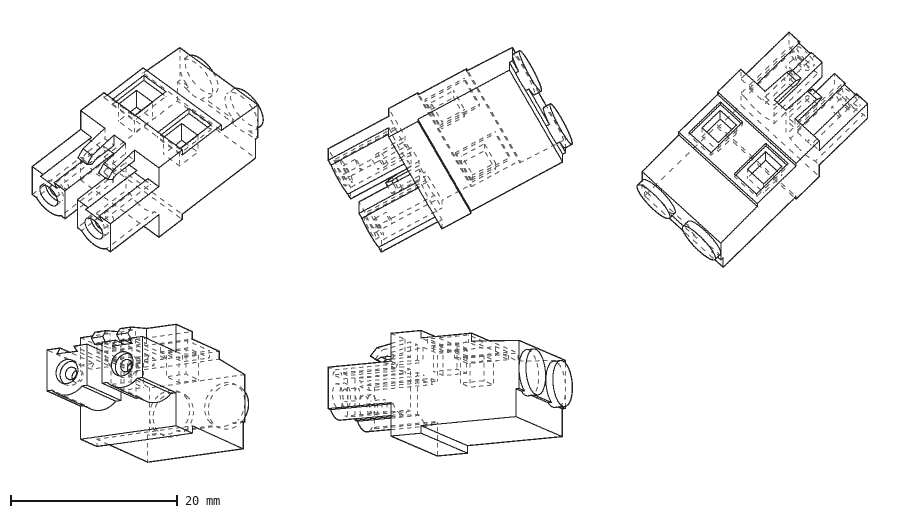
import cadquery as cq
import math

width = 13.12
length = 26.25
height = 12.6

flange_front = 8.32
flange_back = 12.35
window_deck_back = 19.03
housing_back = 25.33
lower_back = 24.9
flange_step = 0.92
rear_step_z = 4.33
slope_front_z = 10.7
slope_back_z = 10.25

plug_width = 5.55
channel_x = (width - plug_width) / 2
axis_z = 6.15

plug_top = 9.2
plug_bottom = 4.1
belly_radius = 2.91
belly_half_chord = math.sqrt(belly_radius**2 - (axis_z - plug_bottom) ** 2)
groove_mouth = 1.86
groove_floor = 2.73
groove_depth = 0.68
socket_radius = 1.5
socket_depth = 1.0
bore_radius = 0.75
bore_depth = 2.62

latch_width = 1.55
latch_x = 1.73
latch_bottom = 10.7
latch_shoulder_y = 4.57
latch_shoulder_z = 11.92
latch_tip_y = 3.7
latch_tip_z = 10.97
latch_hook_y = 4.55
latch_hook_z = 10.37
latch_hook_back_y = 5.15

deck_z = height - flange_step
window_width = 3.7
window_front = 12.78
window_back = 18.22
window_depth = 0.9
well_width = 2.7
well_front = 13.34
well_back = 16.45
well_depth = 3.95

collar_radius = plug_width / 2
collar_z = 6.8


def extrude_x(points, x_center, x_width):
    """Extrude a (y, z) outline symmetrically about x_center."""
    outline = cq.Workplane("YZ", origin=(x_center - x_width / 2, 0, 0))
    return outline.polyline(points).close().extrude(x_width)


def rod(x, z, radius, y_start, y_end):
    """Round bar along Y."""
    circle = cq.Workplane("XZ", origin=(x, y_start, z)).circle(radius)
    return circle.extrude(y_start - y_end)


def make_housing():
    """Stepped body with a flange around its front end."""
    points = [
        (flange_front, 0),
        (flange_back, 0),
        (flange_back, flange_step),
        (lower_back, flange_step),
        (lower_back, rear_step_z),
        (housing_back, rear_step_z),
        (housing_back, slope_back_z),
        (window_deck_back, slope_front_z),
        (window_deck_back, deck_z),
        (flange_back, deck_z),
        (flange_back, height),
        (flange_front, height),
    ]
    return extrude_x(points, 0, width)


def make_plug(x):
    """Square plug with a round belly below and a dovetail groove on top."""
    half = plug_width / 2
    groove_z = plug_top - groove_depth
    outline = (
        cq.Workplane("XZ", origin=(x, 0, 0))
        .moveTo(-half, plug_bottom)
        .lineTo(-belly_half_chord, plug_bottom)
        .threePointArc((0, axis_z - belly_radius), (belly_half_chord, plug_bottom))
        .lineTo(half, plug_bottom)
        .lineTo(half, plug_top)
        .lineTo(groove_mouth / 2, plug_top)
        .lineTo(groove_floor / 2, groove_z)
        .lineTo(-groove_floor / 2, groove_z)
        .lineTo(-groove_mouth / 2, plug_top)
        .lineTo(-half, plug_top)
        .close()
    )
    return outline.extrude(-flange_front)


def make_latch(x):
    """Tapered arm reaching forward from the flange to a hooked tip."""
    points = [
        (flange_front, height),
        (latch_shoulder_y, latch_shoulder_z),
        (latch_tip_y, latch_tip_z),
        (latch_hook_y, latch_hook_z),
        (latch_hook_back_y, latch_bottom),
        (flange_front, latch_bottom),
    ]
    return extrude_x(points, x, latch_width)


def make_pocket(x, pocket_width, front, back, depth):
    """Rectangular cutter sunk into the top deck."""
    points = [
        (front, deck_z),
        (back, deck_z),
        (back, deck_z - depth),
        (front, deck_z - depth),
    ]
    return extrude_x(points, x, pocket_width)


result = make_housing()
for side in (-1, 1):
    x = side * channel_x
    result = result.union(make_plug(x))
    result = result.union(make_latch(side * latch_x))
    result = result.union(rod(x, collar_z, collar_radius, lower_back, length))
    result = result.cut(rod(x, axis_z, socket_radius, 0, socket_depth))
    result = result.cut(rod(x, axis_z, bore_radius, 0, bore_depth))
    result = result.cut(make_pocket(x, window_width, window_front, window_back, window_depth))
    result = result.cut(make_pocket(x, well_width, well_front, well_back, well_depth))